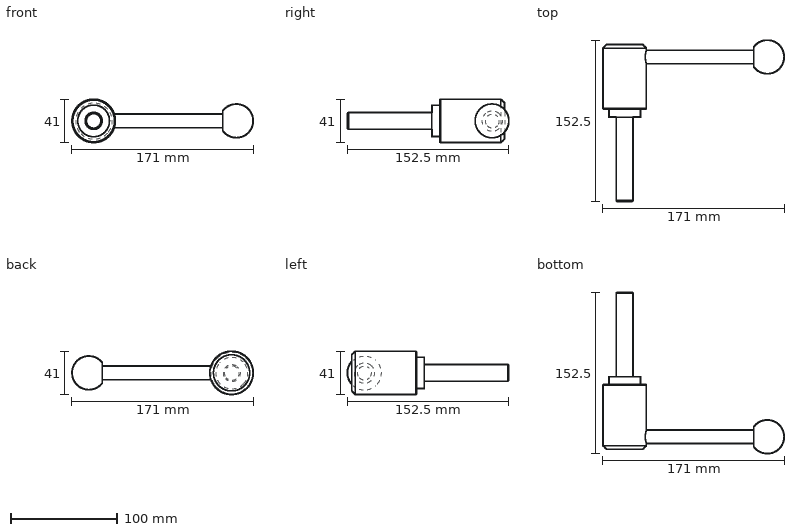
import cadquery as cq

hub_diameter = 41.0
hub_length = 61.2
rear_chamfer = 3.5
front_chamfer = 0.9

collar_diameter = 30.0
collar_length = 7.4
stud_diameter = 16.0
stud_length = 79.7
stud_chamfer = 1.2

overall_length = 171.0
lever_diameter = 13.0
lever_setback = 11.8
ball_diameter = 32.0
ball_flat_offset = 12.8

hub_radius = hub_diameter / 2
ball_radius = ball_diameter / 2
ball_x = overall_length - hub_radius - ball_radius
hub_front_y = -hub_length
collar_front_y = hub_front_y - collar_length


def cylinder_toward_front(diameter, length, start_y):
    """Cylinder on the hub axis running from start_y toward -Y."""
    return cq.Workplane("XZ", origin=(0, start_y, 0)).circle(diameter / 2).extrude(length)


def make_hub():
    hub = cylinder_toward_front(hub_diameter, hub_length, 0)
    hub = hub.faces("<Y").chamfer(front_chamfer)
    return hub.faces(">Y").chamfer(rear_chamfer)


def make_stud():
    stud = cylinder_toward_front(stud_diameter, stud_length, collar_front_y)
    return stud.faces("<Y").chamfer(stud_chamfer)


def make_lever():
    lever_base = cq.Workplane("YZ", origin=(0, -lever_setback, 0))
    return lever_base.circle(lever_diameter / 2).extrude(ball_x)


def make_ball():
    ball = cq.Workplane("XY").sphere(ball_radius)
    keep = cq.Workplane("YZ", origin=(-ball_flat_offset, 0, 0)).rect(ball_diameter, ball_diameter)
    ball = ball.intersect(keep.extrude(ball_flat_offset + ball_radius))
    return ball.translate((ball_x, -lever_setback, 0))


collar = cylinder_toward_front(collar_diameter, collar_length, hub_front_y)
result = make_hub().union(collar).union(make_stud()).union(make_lever()).union(make_ball())